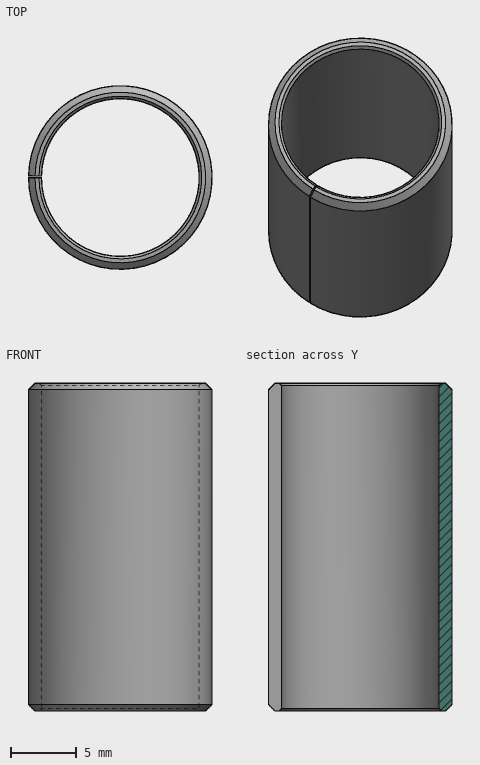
import cadquery as cq

length = 25.0
outer_diameter = 14.0
inner_diameter = 12.0
outer_chamfer = 0.5
inner_chamfer = 0.2
slit_angle = 1.0

outer_radius = outer_diameter / 2
inner_radius = inner_diameter / 2


def make_wall_section():
    """Wall cross-section on the -X side, chamfered at all four corners."""
    return (
        cq.Workplane("XZ")
        .moveTo(-outer_radius + outer_chamfer, 0)
        .lineTo(-inner_radius - inner_chamfer, 0)
        .lineTo(-inner_radius, inner_chamfer)
        .lineTo(-inner_radius, length - inner_chamfer)
        .lineTo(-inner_radius - inner_chamfer, length)
        .lineTo(-outer_radius + outer_chamfer, length)
        .lineTo(-outer_radius, length - outer_chamfer)
        .lineTo(-outer_radius, outer_chamfer)
        .close()
    )


axis_start = (0, 0, 0)
axis_end = (0, 1, 0)
result = make_wall_section().revolve(360 - slit_angle, axis_start, axis_end)